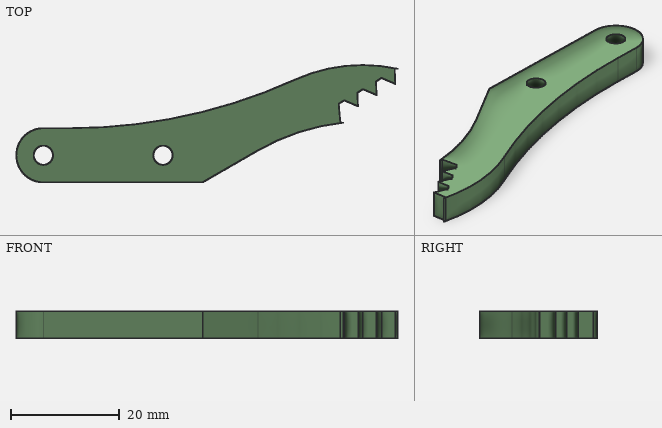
import cadquery as cq
import math


thickness = 5.0
shank_radius = 5.0
hole_diameter = 3.5
hole_spacing = 22.0

back_hollow_start_x = 5.0
back_hollow_radius = 100.0
back_round_radius = 30.0
back_crest_y = 16.62

belly_ramp_start_x = 29.3
belly_ramp_angle = math.radians(30)
belly_ramp_length = 11.7
belly_radius = 40.0

tooth_count = 3
tooth_pitch = 4.0
tooth_row_angle = math.radians(31)
first_tooth_point = (64.75, 13.1)
notch_peak_offset = (-2.55, 1.1)
notch_corner_offset = (-3.55, 0.45)

back_spur_x = 65.2
belly_spur_x = 55.2
spur_thickness = 0.12
spur_root_inset = 0.55


def point_on_circle(center, radius, angle):
    return (center[0] + radius * math.cos(angle), center[1] + radius * math.sin(angle))


def top_of_circle_at(center, radius, x):
    return (x, center[1] + math.sqrt(radius**2 - (x - center[0]) ** 2))


def middle_of_upper_arc(center, radius, start, end):
    return top_of_circle_at(center, radius, (start[0] + end[0]) / 2)


def offset(point, step):
    return (point[0] + step[0], point[1] + step[1])


hollow_center = (back_hollow_start_x, shank_radius + back_hollow_radius)
round_center_y = back_crest_y - back_round_radius
centers_distance = back_hollow_radius + back_round_radius
centers_rise = hollow_center[1] - round_center_y
round_center = (
    hollow_center[0] + math.sqrt(centers_distance**2 - centers_rise**2),
    round_center_y,
)
blend_angle = math.atan2(round_center[1] - hollow_center[1], round_center[0] - hollow_center[0])
back_blend = point_on_circle(hollow_center, back_hollow_radius, blend_angle)
hollow_middle = point_on_circle(hollow_center, back_hollow_radius, (blend_angle - math.pi / 2) / 2)
back_spur = top_of_circle_at(round_center, back_round_radius, back_spur_x)

belly_start = (
    belly_ramp_start_x + belly_ramp_length * math.cos(belly_ramp_angle),
    -shank_radius + belly_ramp_length * math.sin(belly_ramp_angle),
)
belly_center = point_on_circle(belly_start, belly_radius, belly_ramp_angle - math.pi / 2)
belly_spur = top_of_circle_at(belly_center, belly_radius, belly_spur_x)


def add_spur_root(outline, spur_x, center, radius, inward):
    x = spur_x - spur_root_inset
    edge = top_of_circle_at(center, radius, x)
    return outline.lineTo(x, edge[1] + inward * spur_thickness)


def add_teeth(outline):
    row_step = (-tooth_pitch * math.cos(tooth_row_angle), -tooth_pitch * math.sin(tooth_row_angle))
    tooth_point = first_tooth_point
    for _ in range(tooth_count):
        outline = outline.lineTo(*tooth_point)
        outline = outline.lineTo(*offset(tooth_point, notch_peak_offset))
        outline = outline.lineTo(*offset(tooth_point, notch_corner_offset))
        tooth_point = offset(tooth_point, row_step)
    return outline


def jaw_plate():
    outline = cq.Workplane("XY").moveTo(0, -shank_radius)
    outline = outline.threePointArc((-shank_radius, 0), (0, shank_radius))
    outline = outline.lineTo(back_hollow_start_x, shank_radius)
    outline = outline.threePointArc(hollow_middle, back_blend)
    round_middle = middle_of_upper_arc(round_center, back_round_radius, back_blend, back_spur)
    outline = outline.threePointArc(round_middle, back_spur)
    outline = add_spur_root(outline, back_spur_x, round_center, back_round_radius, inward=-1)
    outline = add_teeth(outline)
    outline = add_spur_root(outline, belly_spur_x, belly_center, belly_radius, inward=1)
    outline = outline.lineTo(*belly_spur)
    belly_middle = middle_of_upper_arc(belly_center, belly_radius, belly_spur, belly_start)
    outline = outline.threePointArc(belly_middle, belly_start)
    outline = outline.lineTo(belly_ramp_start_x, -shank_radius)
    return outline.close().extrude(thickness)


def pin_holes():
    centers = [(0, 0), (hole_spacing, 0)]
    return cq.Workplane("XY").pushPoints(centers).circle(hole_diameter / 2).extrude(thickness)


result = jaw_plate().cut(pin_holes())